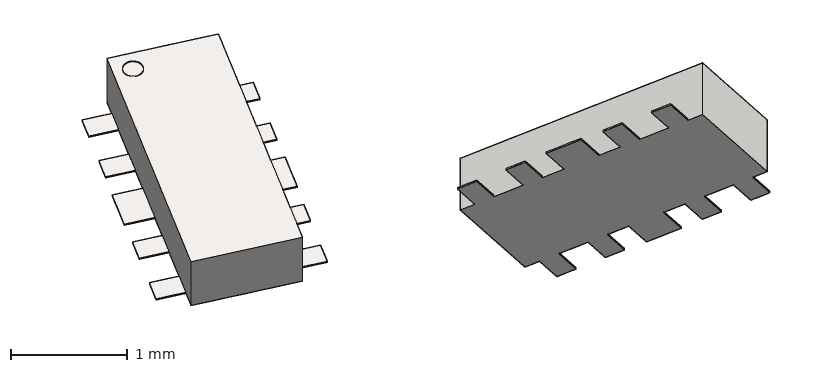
import cadquery as cq

body_length = 2.5
body_width = 1.0
body_height = 0.55

lead_thickness = 0.015
lead_pitch = 0.5
lead_width = 0.2
lead_span = 1.535
center_lead_width = 0.36
center_lead_span = 1.55

mark_radius = 0.09
mark_depth = 0.01
mark_x = -1.07
mark_y = -0.32


def lead_strip(x, width, span):
    """Flat strip crossing under the body, forming one lead on each side."""
    strip = cq.Workplane("XY").box(width, span, lead_thickness, centered=(True, True, False))
    return strip.translate((x, 0, 0))


result = cq.Workplane("XY").box(body_length, body_width, body_height, centered=(True, True, False))

for step in (-2, -1, 1, 2):
    result = result.union(lead_strip(step * lead_pitch, lead_width, lead_span))
result = result.union(lead_strip(0, center_lead_width, center_lead_span))

pin_one_mark = (
    cq.Workplane("XY", origin=(mark_x, mark_y, body_height - mark_depth))
    .circle(mark_radius)
    .extrude(mark_depth)
)
result = result.cut(pin_one_mark)